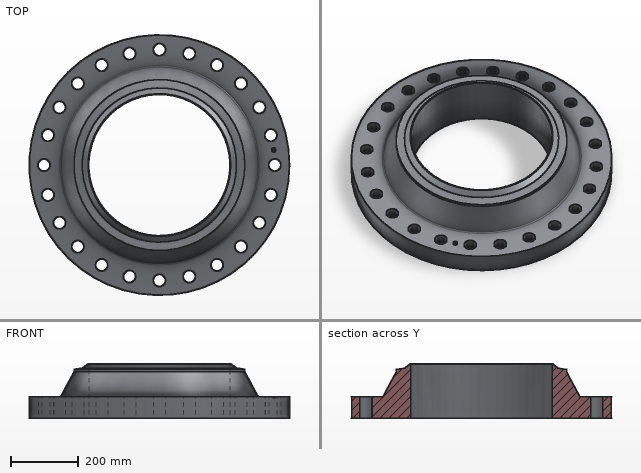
import cadquery as cq
import math

flange_radius = 387
flange_thickness = 64.0

foot_radius = 293.5
foot_fillet = 5.0
cone_top_radius = 254.0
cone_top_z = 138.0
band_top_z = 145.5
bevel_knee_radius = 229.0
bevel_knee_z = 149.5
total_height = 162.0
bore_radius = 210.0
land_width = 2.0

bolt_count = 24
bolt_circle_radius = 343.0
bolt_hole_diameter = 36.0

mark_outer_diameter = 12.5
mark_inner_diameter = 6.0
mark_step_depth = 2.0
mark_angle = 180 / bolt_count


def flange_body():
    """Revolve the half section of plate and hub around Z, then blend the hub foot."""
    section = [
        (bore_radius, 0),
        (flange_radius, 0),
        (flange_radius, flange_thickness),
        (foot_radius, flange_thickness),
        (cone_top_radius, cone_top_z),
        (cone_top_radius, band_top_z),
        (bevel_knee_radius, bevel_knee_z),
        (bore_radius + land_width, total_height),
        (bore_radius, total_height),
    ]
    body = cq.Workplane("XZ").polyline(section).close().revolve(360, (0, 0), (0, 1))
    second_largest = cq.selectors.RadiusNthSelector(-2)
    return body.edges(second_largest).fillet(foot_fillet)


def bolt_holes():
    """Full-thickness cylinders spaced evenly on the bolt circle."""
    return (
        cq.Workplane("XY")
        .polarArray(bolt_circle_radius, 0, 360, bolt_count)
        .circle(bolt_hole_diameter / 2)
        .extrude(flange_thickness)
    )


def stepped_mark():
    """Shallow two-step round recess in the plate's top face, on the bolt circle."""
    angle = math.radians(mark_angle)
    x = bolt_circle_radius * math.cos(angle)
    y = bolt_circle_radius * math.sin(angle)
    top = cq.Workplane("XY", origin=(x, y, flange_thickness))
    outer_step = top.circle(mark_outer_diameter / 2).extrude(-mark_step_depth)
    inner_step = top.circle(mark_inner_diameter / 2).extrude(-2 * mark_step_depth)
    return outer_step.union(inner_step)


result = flange_body().cut(bolt_holes()).cut(stepped_mark())